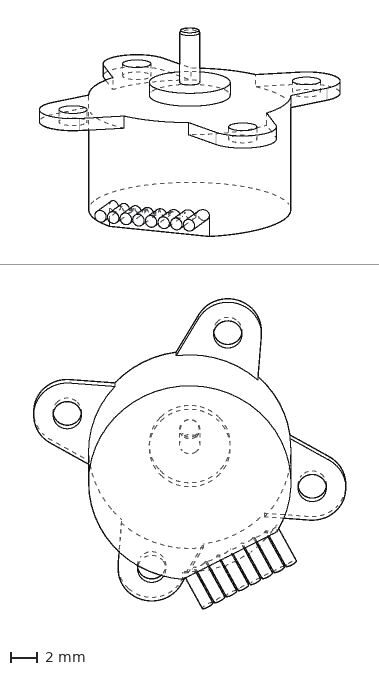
import cadquery as cq
import math


total_length = 18.71
total_height = 13.8

shaft_length = 4.0
boss_height = 1.0
flange_thickness = 0.94
boss_top = total_height - shaft_length
body_height = boss_top - boss_height

body_radius = 15.0 / 2
boss_diameter = 6.0
shaft_diameter = 1.5
shaft_chamfer_length = 0.19
shaft_chamfer_depth = 0.07

ear_count = 4
first_ear_angle = 45.0
bolt_circle_radius = 19.01 / 2
ear_radius = 5.0 / 2
ear_hole_diameter = 2.1
ear_taper = math.radians(12.8)
ear_root_distance = 5.61
ear_edge_y = bolt_circle_radius * math.sin(math.radians(first_ear_angle)) + ear_radius

wire_count = 8
wire_row_span = 7.0
wire_pitch = wire_row_span / (wire_count - 1)
wire_diameter = 0.9
wire_height = 1.65
wire_end_y = ear_edge_y - total_length
flat_width = wire_row_span + wire_diameter
flat_y = -math.sqrt(body_radius**2 - (flat_width / 2) ** 2)


def make_body():
    """Motor can, with a flat chord cut from the base up to the wire centres."""
    can = cq.Workplane("XY").circle(body_radius).extrude(body_height)
    flat_cut = cq.Workplane("XY").box(
        flat_width, body_radius, wire_height, centered=(True, False, False)
    )
    return can.cut(flat_cut.translate((0, flat_y - body_radius, 0)))


def make_ear():
    """Ear along +X: flanks widen inwards, tangent to the rounded tip."""
    tangent_x = bolt_circle_radius + ear_radius * math.sin(ear_taper)
    tangent_y = ear_radius * math.cos(ear_taper)
    root_y = tangent_y + (tangent_x - ear_root_distance) * math.tan(ear_taper)
    return (
        cq.Workplane("XY", origin=(0, 0, body_height - flange_thickness))
        .moveTo(ear_root_distance, -root_y)
        .lineTo(tangent_x, -tangent_y)
        .threePointArc((bolt_circle_radius + ear_radius, 0), (tangent_x, tangent_y))
        .lineTo(ear_root_distance, root_y)
        .close()
        .moveTo(bolt_circle_radius, 0)
        .circle(ear_hole_diameter / 2)
        .extrude(flange_thickness)
    )


def make_boss():
    return (
        cq.Workplane("XY", origin=(0, 0, body_height))
        .circle(boss_diameter / 2)
        .extrude(boss_height)
    )


def make_shaft():
    """Output shaft with a slim chamfer at its tip."""
    return (
        cq.Workplane("XY", origin=(0, 0, boss_top))
        .circle(shaft_diameter / 2)
        .extrude(shaft_length)
        .faces(">Z")
        .chamfer(shaft_chamfer_length, shaft_chamfer_depth)
    )


def make_wire(x):
    """Round lead running along Y from the flat to the wire ends."""
    return (
        cq.Workplane("XZ", origin=(x, flat_y, wire_height))
        .circle(wire_diameter / 2)
        .extrude(flat_y - wire_end_y)
    )


result = make_body().union(make_boss()).union(make_shaft())

ear = make_ear()
for i in range(ear_count):
    ear_angle = first_ear_angle + i * 360 / ear_count
    result = result.union(ear.rotate((0, 0, 0), (0, 0, 1), ear_angle))

for i in range(wire_count):
    result = result.union(make_wire(i * wire_pitch - wire_row_span / 2))